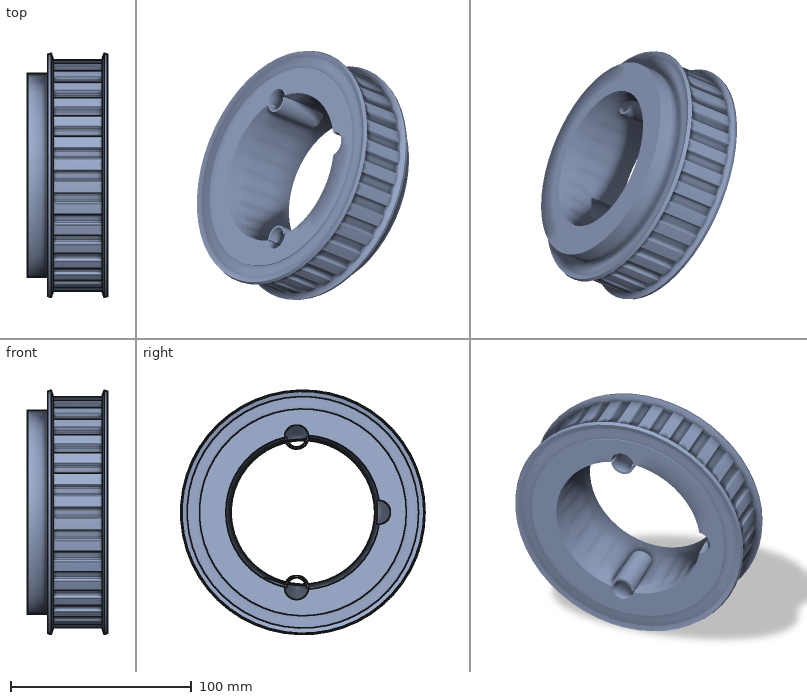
import cadquery as cq
import math

overall_length = 44.51
hub_length = 11.2
hub_radius = 56.5
bore_radius = 39.7
bore_taper = math.radians(3.8)

tooth_count = 32
tip_radius = 64.0
groove_depth = 2.6
groove_floor_width = 4.19
groove_flank_angle = math.radians(20)
groove_floor_fillet = 0.93
tooth_tip_fillet = 0.3

flange_radius = 135.13 / 2
flange_thickness = 2.1
fold_angle = math.radians(19)
fold_radius = 64.35
spigot_radius = 57.2
spigot_protrusion = 0.6

sleeve_offset_y = -3.5
sleeve_offset_z = 41.6
sleeve_radius = 6.65
sleeve_inner_radius = 5.4
sleeve_length = 29.4
drill_half_angle = math.radians(59)

plain_groove_radius = sleeve_radius
plain_groove_offset = 41.75
plain_groove_length = 20.9

hub_face = -overall_length / 2
far_face = overall_length / 2
near_rim = hub_face + hub_length
fold_reach = (flange_radius - fold_radius) * math.tan(fold_angle)
rim_depth = flange_thickness * math.cos(fold_angle) + fold_reach
teeth_start = near_rim + rim_depth
teeth_end = far_face - rim_depth
near_spigot_face = teeth_start - flange_thickness - spigot_protrusion
far_spigot_face = teeth_end + flange_thickness + spigot_protrusion
sleeve_start = far_spigot_face - sleeve_length
plain_groove_start = far_spigot_face - plain_groove_length


def disc(start, end, radius, y=0, z=0):
    """Cylinder along X between two X positions."""
    return cq.Workplane("YZ", origin=(start, y, z)).circle(radius).extrude(end - start)


def groove_cutter():
    """Trapezoidal belt groove with rounded floor corners, pointing along -Y."""
    overshoot = 1.0
    half_floor = groove_floor_width / 2
    half_mouth = half_floor + (groove_depth + overshoot) * math.tan(groove_flank_angle)
    floor_y = -(tip_radius - groove_depth)
    mouth_y = -(tip_radius + overshoot)
    profile = [
        (floor_y, -half_floor),
        (floor_y, half_floor),
        (mouth_y, half_mouth),
        (mouth_y, -half_mouth),
    ]
    cutter = (
        cq.Workplane("YZ", origin=(teeth_start, 0, 0))
        .polyline(profile)
        .close()
        .extrude(teeth_end - teeth_start)
    )
    return cutter.edges("|X and >Y").fillet(groove_floor_fillet)


def make_flange():
    """Flange profile revolved about X, flat seat at x = 0 and rim folded toward -X."""
    miter = flange_thickness * math.tan(fold_angle / 2)
    edge_x = -fold_reach - flange_thickness * math.cos(fold_angle)
    edge_radius = flange_radius - flange_thickness * math.sin(fold_angle)
    profile = [
        (0, spigot_radius),
        (0, fold_radius),
        (-fold_reach, flange_radius),
        (edge_x, edge_radius),
        (-flange_thickness, fold_radius - miter),
        (-flange_thickness, spigot_radius),
    ]
    return cq.Workplane("XY").polyline(profile).close().revolve(360, (0, 0, 0), (1, 0, 0))


def screw_hole(z):
    """Round hole from the far face, ending in a drill point."""
    hole = disc(sleeve_start, far_spigot_face, sleeve_radius, sleeve_offset_y, z)
    point_length = sleeve_radius / math.tan(drill_half_angle)
    point = (
        cq.Workplane("XY")
        .polyline([(0, 0), (0, sleeve_radius), (-point_length, 0)])
        .close()
        .revolve(360, (0, 0, 0), (1, 0, 0))
        .translate((sleeve_start, sleeve_offset_y, z))
    )
    return hole.union(point)


def half_sleeve(z):
    """Inner half of a tube lining a screw hole, on the side toward the bore axis."""
    tube = disc(sleeve_start, far_spigot_face, sleeve_radius, sleeve_offset_y, z)
    tube = tube.cut(disc(sleeve_start, far_spigot_face, sleeve_inner_radius, sleeve_offset_y, z))
    inner_side = cq.Workplane("XY").box(2 * overall_length, 2 * bore_radius, 2 * sleeve_offset_z)
    return tube.intersect(inner_side)


def tapered_bore():
    """Conical bore, narrowest at the hub face."""
    far_bore_radius = bore_radius + overall_length * math.tan(bore_taper)
    profile = [(hub_face, 0), (hub_face, bore_radius), (far_face, far_bore_radius), (far_face, 0)]
    return cq.Workplane("XY").polyline(profile).close().revolve(360, (0, 0, 0), (1, 0, 0))


def is_tooth_tip(edge):
    """True for an edge lying on the tooth tip cylinder."""
    center = edge.Center()
    return math.hypot(center.y, center.z) > tip_radius - tooth_tip_fillet


def make_toothed_rim():
    rim = disc(teeth_start, teeth_end, tip_radius)
    cutter = groove_cutter()
    for index in range(tooth_count):
        rim = rim.cut(cutter.rotate((0, 0, 0), (1, 0, 0), index * 360 / tooth_count))
    return rim.edges("|X").filter(is_tooth_tip).fillet(tooth_tip_fillet)


def make_pulley():
    """Toothed rim, flange shoulders and hub in one body, with the tapered bore and its screw features."""
    pulley = make_toothed_rim()
    pulley = pulley.union(disc(near_spigot_face, far_spigot_face, spigot_radius))
    pulley = pulley.union(disc(hub_face, near_spigot_face, hub_radius))
    pulley = pulley.cut(tapered_bore())
    for z in (sleeve_offset_z, -sleeve_offset_z):
        pulley = pulley.cut(screw_hole(z))
        pulley = pulley.union(half_sleeve(z))
    pulley = pulley.cut(disc(plain_groove_start, far_face, plain_groove_radius, plain_groove_offset))
    return pulley


pulley = make_pulley()
near_flange = make_flange().translate((teeth_start, 0, 0))
far_flange = make_flange().mirror("YZ").translate((teeth_end, 0, 0))

result = cq.Compound.makeCompound([pulley.val(), near_flange.val(), far_flange.val()])